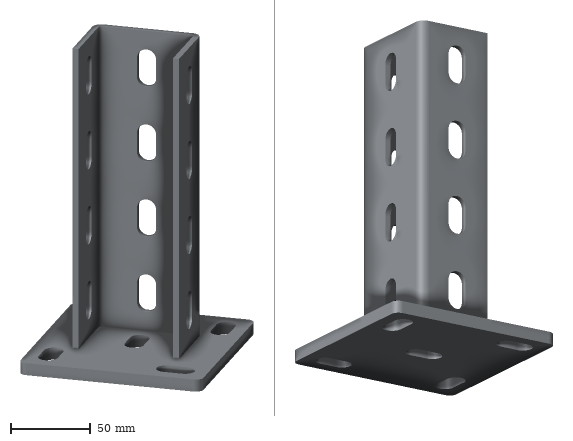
import cadquery as cq

plate_size = 120.0
plate_thickness = 8.0
plate_corner_radius = 5.0

channel_width = 70.0
channel_depth = 50.0
channel_height = 200.0
wall = 4.0
bend_outer_radius = 6.0
bend_inner_radius = bend_outer_radius - wall

slot_length = 25.0
slot_width = 12.5

corner_slot_inset = 15.0

slot_pitch = 50.0
slot_count = 4
side_slot_y = -2.0

plate_half = plate_size / 2
channel_back_y = channel_depth / 2
first_slot_z = plate_thickness + slot_pitch / 2


def make_plate():
    plate = (
        cq.Workplane("XY")
        .box(plate_size, plate_size, plate_thickness, centered=(True, True, False))
        .edges("|Z")
        .fillet(plate_corner_radius)
    )
    centre_slot = cq.Workplane("XY").slot2D(slot_length, slot_width, 90).extrude(plate_thickness)
    plate = plate.cut(centre_slot)

    corner_slot = (
        cq.Workplane("XY")
        .center(
            -plate_half + corner_slot_inset + (slot_length - slot_width) / 2,
            plate_half - corner_slot_inset,
        )
        .slot2D(slot_length, slot_width)
        .extrude(plate_thickness)
    )
    for quarter_turn in range(4):
        plate = plate.cut(corner_slot.rotate((0, 0, 0), (0, 0, 1), 90 * quarter_turn))
    return plate


def channel_block(width, back_y, radius):
    """Full-height block from the open front to back_y, with rounded back edges."""
    front_y = -channel_depth / 2
    return (
        cq.Workplane("XY", origin=(0, (front_y + back_y) / 2, plate_thickness))
        .box(width, back_y - front_y, channel_height, centered=(True, True, False))
        .edges("|Z and >Y")
        .fillet(radius)
    )


def make_channel():
    outside = channel_block(channel_width, channel_back_y, bend_outer_radius)
    inside = channel_block(channel_width - 2 * wall, channel_back_y - wall, bend_inner_radius)
    channel = outside.cut(inside)

    slot_heights = [first_slot_z + i * slot_pitch for i in range(slot_count)]
    back_slots = (
        cq.Workplane("XZ")
        .pushPoints([(0, z) for z in slot_heights])
        .slot2D(slot_length, slot_width, 90)
        .extrude(-channel_depth)
    )
    side_slots = (
        cq.Workplane("YZ")
        .pushPoints([(side_slot_y, z) for z in slot_heights])
        .slot2D(slot_length, slot_width, 90)
        .extrude(channel_width, both=True)
    )
    return channel.cut(back_slots).cut(side_slots)


result = make_plate().union(make_channel())